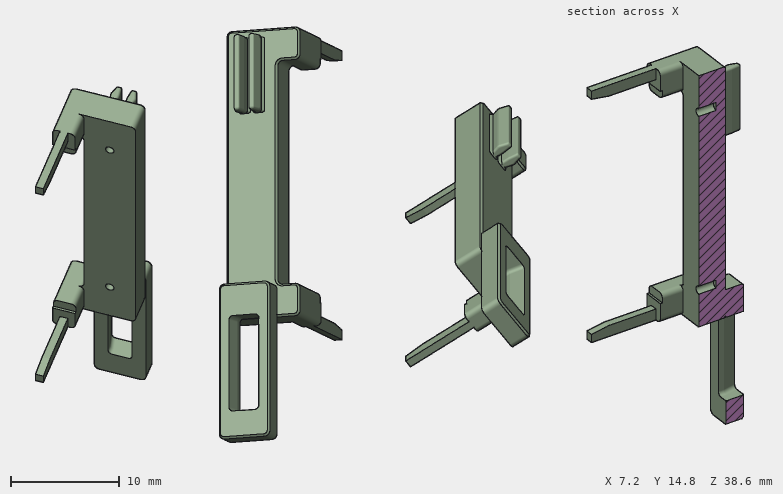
import cadquery as cq

OVERALL_WIDTH = 7.2
OVERALL_HEIGHT = 38.6

BAR_WIDTH = 5.0
BAR_HEIGHT = 27.1
BAR_DEPTH = 3.0
BAR_LEFT = OVERALL_WIDTH - BAR_WIDTH
BAR_CENTER_X = BAR_LEFT + BAR_WIDTH / 2
BAR_BOTTOM = OVERALL_HEIGHT - BAR_HEIGHT
BAR_CENTER_Z = BAR_BOTTOM + BAR_HEIGHT / 2
CORNER_RADIUS = 0.5
EDGE_CHAMFER = 0.2

ARM_WIDTH = BAR_LEFT
ARM_HEIGHT = 3.05
ARM_REACH = 5.55
ARM_STEP_HEIGHT = 0.93
ARM_STEP_DEPTH = 0.25

PIN_WIDTH = 0.77
PIN_HEIGHT = 1.2
PIN_TIP_HEIGHT = 0.9
PIN_REACH = 12.75
PIN_TAPER = 1.93

HOLE_DIAMETER = 0.8
HOLE_DEPTH = 1.93
HOLE_END_DISTANCE = 3.98

TAIL_DEPTH = 2.0
TAIL_RADIUS = 0.55
TAIL_TOP = BAR_BOTTOM + ARM_HEIGHT
SLOT_WIDTH = 2.3
SLOT_BOTTOM = 2.55
SLOT_RADIUS = 0.4
SLOT_FLARE_START = 0.6
SLOT_FLARE = 0.3

CLIP_TOP = OVERALL_HEIGHT - 0.75
CLIP_HEIGHT = 7.1
CLIP_ROUNDING = 0.25
CLIP_TIP_ROUNDING = 0.15
CLIP_INNER = 0.35
CLIP_OUTER = 1.05
CLIP_BARB = 1.25
CLIP_BARB_DEPTH = 1.0
CLIP_BARB_LAND = 0.15
CLIP_TIP_INNER = 0.45
CLIP_TIP_OUTER = 0.95
CLIP_FLARE = 0.25


def block(x_range, y_range, z_range):
    """Box spanning the given (low, high) limits on each axis."""
    sizes = [high - low for low, high in (x_range, y_range, z_range)]
    return cq.Workplane("XY").box(*sizes, centered=False).translate((x_range[0], y_range[0], z_range[0]))


def mirrored_ends(upper):
    """The given upper-end shape together with its mirror image at the lower end."""
    lower = upper.mirror("XY", (0, 0, BAR_CENTER_Z))
    return upper.union(lower)


def make_bar():
    """C-shaped bar with rounded corners and a chamfered back outline."""
    bar = block((BAR_LEFT, OVERALL_WIDTH), (-BAR_DEPTH, 0), (BAR_BOTTOM, OVERALL_HEIGHT))
    root = block((0, BAR_LEFT), (-BAR_DEPTH, 0), (OVERALL_HEIGHT - ARM_HEIGHT, OVERALL_HEIGHT))
    bar = bar.union(mirrored_ends(root))
    return bar.edges("|Y").fillet(CORNER_RADIUS).faces(">Y").chamfer(EDGE_CHAMFER)


def make_arms():
    """Rounded arms in front of the bar, each with a set-back strip on its inner side."""
    arm_bottom = OVERALL_HEIGHT - ARM_HEIGHT
    arm = block((0, ARM_WIDTH), (-ARM_REACH, -BAR_DEPTH / 2), (arm_bottom, OVERALL_HEIGHT))
    arm = arm.edges("|Y").fillet(CORNER_RADIUS)
    step = block(
        (0, ARM_WIDTH),
        (-ARM_REACH, ARM_STEP_DEPTH - ARM_REACH),
        (arm_bottom, arm_bottom + ARM_STEP_HEIGHT),
    )
    return mirrored_ends(arm.cut(step))


def make_pins():
    """Pins flush with the ends of the bar, tapered on the inner side of the tip."""
    pin = (
        cq.Workplane("YZ", origin=((ARM_WIDTH - PIN_WIDTH) / 2, 0, OVERALL_HEIGHT))
        .moveTo(-BAR_DEPTH, 0)
        .lineTo(-PIN_REACH, 0)
        .lineTo(-PIN_REACH, -PIN_TIP_HEIGHT)
        .lineTo(PIN_TAPER - PIN_REACH, -PIN_HEIGHT)
        .lineTo(-BAR_DEPTH, -PIN_HEIGHT)
        .close()
        .extrude(PIN_WIDTH)
    )
    return mirrored_ends(pin)


def make_tail():
    """Plate on the back of the bar, extending below it."""
    tail = block((BAR_LEFT, OVERALL_WIDTH), (0, TAIL_DEPTH), (0, TAIL_TOP))
    tail = tail.edges("|Y").fillet(TAIL_RADIUS)
    tail = tail.faces(">Y").chamfer(EDGE_CHAMFER)
    return tail.cut(make_slot())


def make_slot():
    """Slot cutter with side walls that widen towards the back, rounded in all four corners."""
    half_width = SLOT_WIDTH / 2
    slot = (
        cq.Workplane("XY", origin=(BAR_CENTER_X, 0, SLOT_BOTTOM))
        .moveTo(-half_width, 0)
        .lineTo(half_width, 0)
        .lineTo(half_width, SLOT_FLARE_START)
        .lineTo(half_width + SLOT_FLARE, TAIL_DEPTH)
        .lineTo(-half_width - SLOT_FLARE, TAIL_DEPTH)
        .lineTo(-half_width, SLOT_FLARE_START)
        .close()
        .extrude(BAR_BOTTOM - SLOT_BOTTOM)
    )
    return slot.faces("<Z or >Z").edges("not |X").fillet(SLOT_RADIUS)


def make_clips():
    """Pair of barbed clips facing away from each other, with flared roots and rounded ends."""
    clip = (
        cq.Workplane("XY")
        .moveTo(CLIP_INNER - CLIP_FLARE, 0)
        .lineTo(CLIP_INNER, CLIP_FLARE)
        .lineTo(CLIP_INNER, CLIP_BARB_DEPTH)
        .lineTo(CLIP_TIP_INNER, TAIL_DEPTH)
        .lineTo(CLIP_TIP_OUTER, TAIL_DEPTH)
        .lineTo(CLIP_BARB, CLIP_BARB_DEPTH + CLIP_BARB_LAND / 2)
        .lineTo(CLIP_BARB, CLIP_BARB_DEPTH - CLIP_BARB_LAND / 2)
        .lineTo(CLIP_OUTER, CLIP_FLARE)
        .lineTo(CLIP_OUTER + CLIP_FLARE, 0)
        .close()
        .extrude(CLIP_HEIGHT)
    )
    clip = clip.faces(">Y").edges("|Z").fillet(CLIP_TIP_ROUNDING)
    clip = clip.faces("<Z or >Z").edges("not <Y").fillet(CLIP_ROUNDING)
    pair = clip.union(clip.mirror("YZ"))
    return pair.translate((BAR_CENTER_X, 0, CLIP_TOP - CLIP_HEIGHT))


def make_hole():
    """Upper blind hole on the centre line of the bar."""
    return (
        cq.Workplane("XZ", origin=(BAR_CENTER_X, -BAR_DEPTH, OVERALL_HEIGHT - HOLE_END_DISTANCE))
        .circle(HOLE_DIAMETER / 2)
        .extrude(-HOLE_DEPTH)
    )


result = (
    make_bar()
    .union(make_arms())
    .union(make_pins())
    .union(make_tail())
    .union(make_clips())
    .cut(mirrored_ends(make_hole()))
)